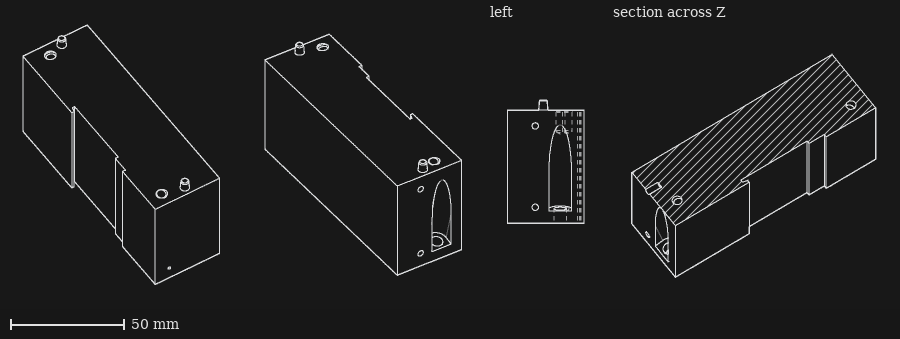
import cadquery as cq
import math

total_length = 107.7
nub_height = 0.2
length = total_length - nub_height
depth = 33.8
total_height = 54.5
pin_height = 4.5
height = total_height - pin_height

rail_left = 37.4
rail_right = 72.7
rail_depth = 3.0
lip_reach = 2.4
lip_thickness = 1.3
lip_root_thickness = 1.9
step_right = 80.9
step_depth = 1.5

pin_base_diameter = 4.2
pin_upper_diameter = 3.6
pin_tip_diameter = 2.8
pin_tip_height = 0.6
pin_inset = 3.8
pin_y = 18.0

tilt = 14.0
pocket_diameter = 10.0
pocket_y = 10.6
pocket_floor_z = 5.5
pocket_reach = 9.2
pocket_tool_length = 64.6
screw_diameter = 5.5

top_hole_diameter = 4.1
top_hole_mouth_diameter = 5.3
top_hole_chamfer = (top_hole_mouth_diameter - top_hole_diameter) / 2
top_hole_depth = 9.7
drill_tip_angle = 118.0
left_hole_x = 6.5
left_hole_y = 10.5
right_hole_x = 101.0
right_hole_y = 7.4

end_hole_diameter = 2.8
end_hole_depth = 6.5
end_hole_y = 21.5
end_hole_heights = (7.1, 43.0)

nub_ball_diameter = 2.5
nub_stem_length = 1.1
nub_z = 6.5


def make_block():
    """Extrude the plan outline, including the undercut rail channel."""
    outline = [
        (0, 0),
        (rail_left + lip_reach, 0),
        (rail_left + lip_reach, lip_thickness),
        (rail_left, lip_root_thickness),
        (rail_left, rail_depth),
        (rail_right, rail_depth),
        (rail_right, step_depth),
        (step_right, step_depth),
        (step_right, 0),
        (length, 0),
        (length, depth),
        (0, depth),
    ]
    return cq.Workplane("XY").polyline(outline).close().extrude(height)


def make_pin(x):
    """Tapered pin with a chamfered tip, standing on the top face."""
    profile = [
        (0, 0),
        (pin_base_diameter / 2, 0),
        (pin_upper_diameter / 2, pin_height - pin_tip_height),
        (pin_tip_diameter / 2, pin_height),
        (0, pin_height),
    ]
    pin = cq.Workplane("XZ").polyline(profile).close().revolve(360, (0, 0), (0, 1))
    return pin.translate((x, pin_y, height))


def make_pocket():
    """Inclined U-shaped pocket, open at the end face, with a screw hole through its floor."""
    radius = pocket_diameter / 2
    bore_x = pocket_reach - radius
    bore = cq.Workplane("XY").center(bore_x, 0).circle(radius).extrude(pocket_tool_length)
    opening_length = 2 * pocket_reach
    opening = (
        cq.Workplane("XY")
        .center(bore_x - opening_length / 2, 0)
        .rect(opening_length, pocket_diameter)
        .extrude(pocket_tool_length)
    )
    screw_hole = cq.Workplane("XY").center(bore_x, 0).circle(screw_diameter / 2).extrude(-pocket_tool_length)
    tool = bore.union(opening).union(screw_hole)
    return tool.rotate((0, 0, 0), (0, 1, 0), -tilt).translate((0, pocket_y, pocket_floor_z))


def make_top_hole(x, y, lean):
    """Drilled hole with a conical bottom and a chamfered mouth; lean turns its axis about Y."""
    radius = top_hole_diameter / 2
    mouth_radius = top_hole_mouth_diameter / 2
    tip_height = radius / math.tan(math.radians(drill_tip_angle / 2))
    clearance = mouth_radius
    profile = [
        (0, clearance),
        (mouth_radius, clearance),
        (mouth_radius, 0),
        (radius, -top_hole_chamfer),
        (radius, -top_hole_depth),
        (0, -top_hole_depth - tip_height),
    ]
    tool = cq.Workplane("XZ").polyline(profile).close().revolve(360, (0, 0), (0, 1))
    return tool.rotate((0, 0, 0), (0, 1, 0), lean).translate((x, y, height))


def make_end_hole(z):
    """Flat-bottomed hole running inward from the left end."""
    return (
        cq.Workplane("YZ")
        .center(end_hole_y, z)
        .circle(end_hole_diameter / 2)
        .extrude(end_hole_depth)
    )


def make_nub():
    """Shallow spherical cap on a short stem that is sunk into the right end."""
    radius = nub_ball_diameter / 2
    cap_radius = math.sqrt(radius**2 - (radius - nub_height) ** 2)
    profile = (
        cq.Workplane("XY")
        .moveTo(-nub_stem_length, 0)
        .lineTo(nub_height, 0)
        .radiusArc((0, cap_radius), -radius)
        .lineTo(-nub_stem_length, cap_radius)
        .close()
    )
    nub = profile.revolve(360, (0, 0), (1, 0))
    return nub.translate((length, right_hole_y, nub_z))


result = make_block().cut(make_pocket())
result = result.cut(make_top_hole(left_hole_x, left_hole_y, -tilt))
result = result.cut(make_top_hole(right_hole_x, right_hole_y, tilt))
for hole_z in end_hole_heights:
    result = result.cut(make_end_hole(hole_z))
for pin_x in (pin_inset, length - pin_inset):
    result = result.union(make_pin(pin_x))
result = result.union(make_nub())